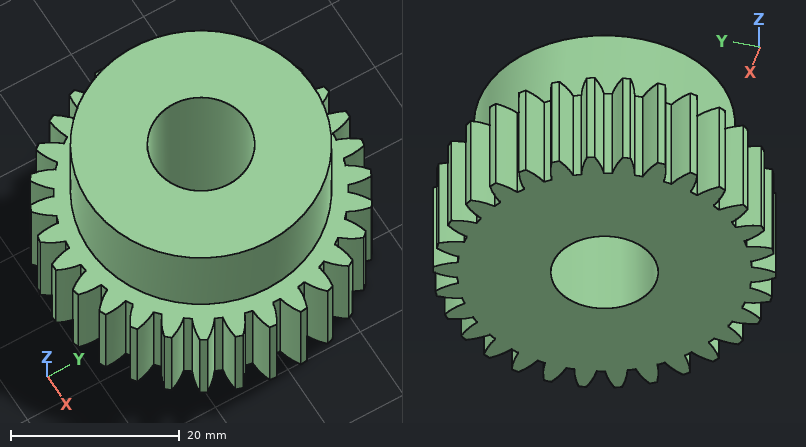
import cadquery as cq
import math

TOOTH_COUNT = 30
OUTER_DIAMETER = 40.65
MODULE = OUTER_DIAMETER / (TOOTH_COUNT + 2)
DEDENDUM_FACTOR = 1.25

FACE_WIDTH = 12.7
TOTAL_HEIGHT = 23.9
HUB_DIAMETER = 30.95
BORE_DIAMETER = 12.7

PITCH_RADIUS = MODULE * TOOTH_COUNT / 2
TIP_RADIUS = OUTER_DIAMETER / 2
ROOT_RADIUS = PITCH_RADIUS - DEDENDUM_FACTOR * MODULE

ROOT_THICKNESS = 2.7
PITCH_THICKNESS = math.pi * MODULE / 2
TIP_THICKNESS = 0.95

ROOT_HALF_ANGLE = ROOT_THICKNESS / ROOT_RADIUS / 2
PITCH_HALF_ANGLE = PITCH_THICKNESS / PITCH_RADIUS / 2
TIP_HALF_ANGLE = TIP_THICKNESS / TIP_RADIUS / 2

TOOTH_SPACING = 2 * math.pi / TOOTH_COUNT
FIRST_TOOTH_ANGLE = math.pi / 2


def polar(radius, angle):
    return (radius * math.cos(angle), radius * math.sin(angle))


def gear_outline():
    """Closed outline: each tooth is a curved flank, tip arc, curved flank and root arc."""
    outline = cq.Workplane("XY").moveTo(*polar(ROOT_RADIUS, FIRST_TOOTH_ANGLE - ROOT_HALF_ANGLE))
    for tooth in range(TOOTH_COUNT):
        center = FIRST_TOOTH_ANGLE + tooth * TOOTH_SPACING
        gap_center = center + TOOTH_SPACING / 2
        next_tooth_start = center + TOOTH_SPACING - ROOT_HALF_ANGLE
        outline = (
            outline
            .threePointArc(
                polar(PITCH_RADIUS, center - PITCH_HALF_ANGLE),
                polar(TIP_RADIUS, center - TIP_HALF_ANGLE),
            )
            .threePointArc(
                polar(TIP_RADIUS, center),
                polar(TIP_RADIUS, center + TIP_HALF_ANGLE),
            )
            .threePointArc(
                polar(PITCH_RADIUS, center + PITCH_HALF_ANGLE),
                polar(ROOT_RADIUS, center + ROOT_HALF_ANGLE),
            )
            .threePointArc(
                polar(ROOT_RADIUS, gap_center),
                polar(ROOT_RADIUS, next_tooth_start),
            )
        )
    return outline.close()


gear = gear_outline().extrude(FACE_WIDTH)
hub = cq.Workplane("XY").circle(HUB_DIAMETER / 2).extrude(TOTAL_HEIGHT)
body = gear.union(hub)

bore = cq.Workplane("XY").circle(BORE_DIAMETER / 2).extrude(TOTAL_HEIGHT)
result = body.cut(bore)